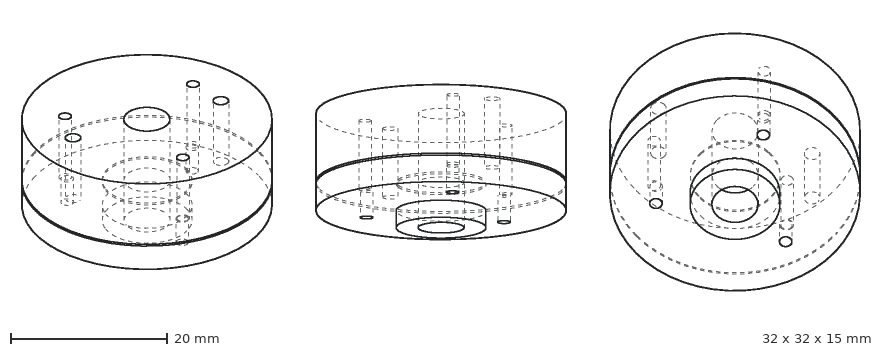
import cadquery as cq

disc_diameter = 32.0
hub_projection = 2.25
flange_thickness = 3.5
gap = 0.25
housing_height = 9.02

flange_bottom = hub_projection
flange_top = flange_bottom + flange_thickness
housing_bottom = flange_top + gap

hub_diameter = 11.5
bore_diameter = 5.9

screw_hole_count = 3
screw_start_angle = 0
screw_hole_diameter = 1.6
housing_screw_radius = 10.5
flange_screw_radius = 10.25

dowel_hole_count = 2
dowel_start_angle = 90
dowel_hole_diameter = 2.0
dowel_radius = housing_screw_radius


def cylinder(diameter, bottom, height):
    """Upright cylinder on the Z axis."""
    return cq.Workplane("XY").workplane(offset=bottom).circle(diameter / 2).extrude(height)


def hole_ring(diameter, ring_radius, start_angle, count, bottom, height):
    """Cutters for equally spaced holes about the Z axis."""
    return (
        cq.Workplane("XY")
        .workplane(offset=bottom)
        .polarArray(ring_radius, start_angle, 360, count)
        .circle(diameter / 2)
        .extrude(height)
    )


def make_housing():
    """Thick upper disc with a bore, screw holes and dowel holes, all passing through."""
    span = (housing_bottom, housing_height)
    body = cylinder(disc_diameter, *span)
    body = body.cut(cylinder(bore_diameter, *span))
    body = body.cut(
        hole_ring(screw_hole_diameter, housing_screw_radius, screw_start_angle, screw_hole_count, *span)
    )
    return body.cut(
        hole_ring(dowel_hole_diameter, dowel_radius, dowel_start_angle, dowel_hole_count, *span)
    )


def make_flange():
    """Lower disc on a hub that stands out below it and spaces it from the housing above."""
    flange_span = (flange_bottom, flange_thickness)
    hub_span = (0, housing_bottom)
    body = cylinder(disc_diameter, *flange_span).union(cylinder(hub_diameter, *hub_span))
    body = body.cut(cylinder(bore_diameter, *hub_span))
    return body.cut(
        hole_ring(screw_hole_diameter, flange_screw_radius, screw_start_angle, screw_hole_count, *flange_span)
    )


housing = make_housing()
flange = make_flange()

result = cq.Compound.makeCompound([housing.val(), flange.val()])